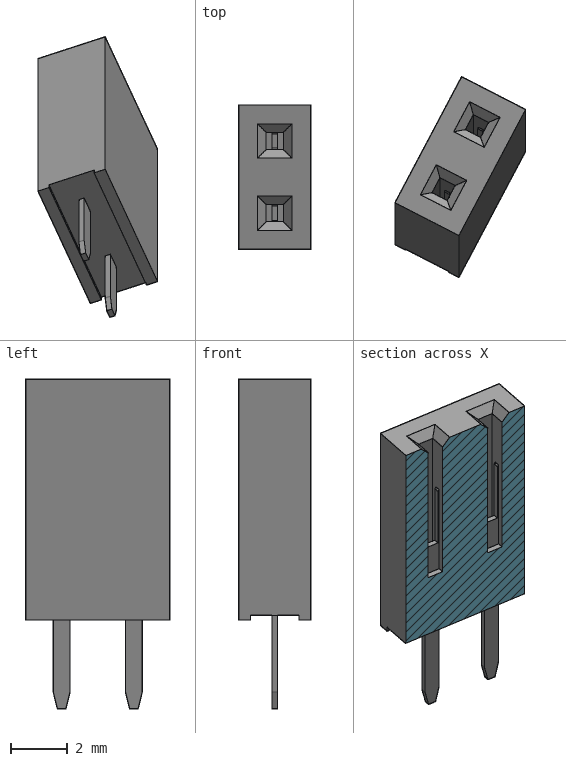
import cadquery as cq

pitch = 2.54
contact_count = 2
total_height = 11.6
body_height = 8.48

channel_width = 1.7
channel_depth = 0.17

mouth_size = 1.21
well_size = 0.6
mouth_depth = (mouth_size - well_size) / 2
socket_depth = 5.8

contact_thickness = 0.2
fork_gap = 0.5
fork_base_height = 1.16
fork_height = 3.48

pin_width = 0.6
tip_width = 0.3
tip_length = 0.6

body_length = pitch * contact_count
body_top = total_height
body_bottom = body_top - body_height
channel_top = body_bottom + channel_depth
socket_floor = body_top - socket_depth
contact_positions = [(i - (contact_count - 1) / 2) * pitch for i in range(contact_count)]


def box_from(width, length, bottom, top, y=0.0):
    """Box centred on X = 0 and the given Y, between two Z levels."""
    return cq.Workplane("XY", origin=(0, y, bottom)).rect(width, length).extrude(top - bottom)


def housing():
    """Block with a shallow channel along its underside."""
    block = box_from(pitch, body_length, body_bottom, body_top)
    return block.cut(box_from(channel_width, body_length, body_bottom, channel_top))


def socket(y):
    """Cavity with a funnel mouth above a straight square well."""
    mouth = (
        cq.Workplane("XY", origin=(0, y, body_top))
        .rect(mouth_size, mouth_size)
        .workplane(offset=-mouth_depth)
        .rect(well_size, well_size)
        .loft(ruled=True)
    )
    return mouth.union(box_from(well_size, well_size, socket_floor, body_top - mouth_depth, y))


def contact_plate(outline):
    """Plate centred on X = 0 with the given outline of Y and Z points."""
    return cq.Workplane("YZ").polyline(outline).close().extrude(contact_thickness / 2, both=True)


def fork(y):
    """Fork contact spanning the well in Y, with 45-degree lead-ins on its prong tips."""
    prong_width = (well_size - fork_gap) / 2
    base_top = socket_floor + fork_base_height
    prong_top = socket_floor + fork_height
    outline = [
        (y - well_size / 2, socket_floor),
        (y - well_size / 2, prong_top),
        (y - fork_gap / 2, prong_top - prong_width),
        (y - fork_gap / 2, base_top),
        (y + fork_gap / 2, base_top),
        (y + fork_gap / 2, prong_top - prong_width),
        (y + well_size / 2, prong_top),
        (y + well_size / 2, socket_floor),
    ]
    return contact_plate(outline)


def pin(y):
    """Solder pin hanging from the channel, narrowing in Y at its tip."""
    outline = [
        (y - pin_width / 2, channel_top),
        (y - pin_width / 2, tip_length),
        (y - tip_width / 2, 0),
        (y + tip_width / 2, 0),
        (y + pin_width / 2, tip_length),
        (y + pin_width / 2, channel_top),
    ]
    return contact_plate(outline)


result = housing()
for position in contact_positions:
    result = result.cut(socket(position)).union(fork(position)).union(pin(position))